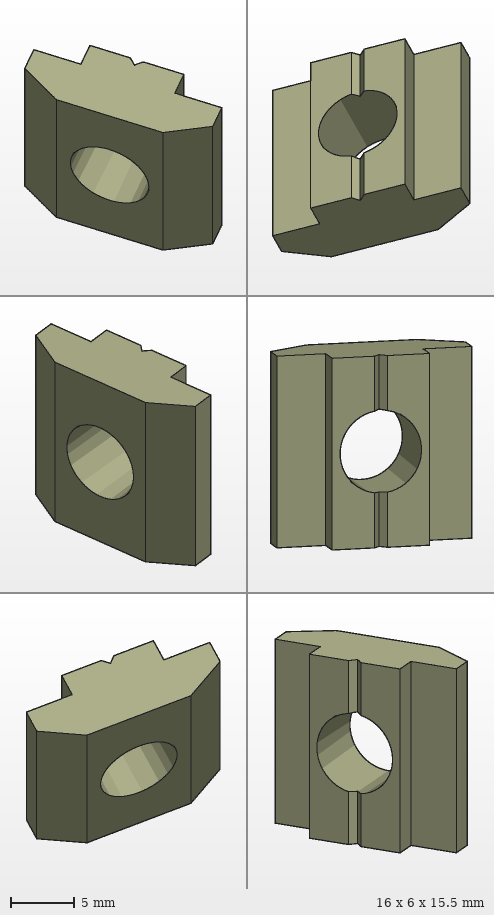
import cadquery as cq
import math

width = 16.0
length = 15.5
thickness = 6.0

layer = thickness / 3
neck_width = width / 2
bevel_angle = 30.0
bevel_run = layer / math.tan(math.radians(bevel_angle))

groove_depth = 0.55

hole_diameter = 6.67

half_width = width / 2
half_front = half_width - bevel_run
half_neck = neck_width / 2
front = -thickness / 2
back = thickness / 2


def make_body():
    """Extrude the right half of the T profile and mirror it about X = 0."""
    half_body = (
        cq.Workplane("XY")
        .workplane(offset=-length / 2)
        .moveTo(0, front)
        .lineTo(half_front, front)
        .lineTo(half_width, front + layer)
        .lineTo(half_width, back - layer)
        .lineTo(half_neck, back - layer)
        .lineTo(half_neck, back)
        .lineTo(groove_depth, back)
        .lineTo(0, back - groove_depth)
        .close()
        .extrude(length)
    )
    return half_body.union(half_body.mirror("YZ")).clean()


def make_hole():
    """Through hole along Y at the centre of the block."""
    return cq.Workplane("XZ", origin=(0, back, 0)).circle(hole_diameter / 2).extrude(thickness)


result = make_body().cut(make_hole())